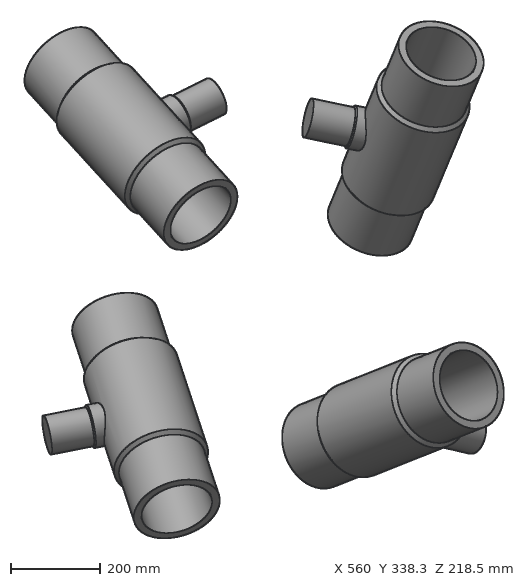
import cadquery as cq

pipe_length = 560.0
pipe_diameter = 200.0
bore_diameter = 163.5

sleeve_length = 291.0
sleeve_diameter = 218.5
bevel_length = 8.5

branch_reach = 229.0
spigot_diameter = 90.0
collar_reach = 131.5
collar_diameter = 99.0
collar_chamfer = 3.5


def cylinder_along_x(diameter, length):
    return cq.Workplane("YZ").circle(diameter / 2).extrude(length / 2, both=True)


def cylinder_along_y(diameter, reach):
    """Cylinder from the pipe axis out to the given Y."""
    return cq.Workplane("XZ").circle(diameter / 2).extrude(-reach)


def bevelled_sleeve():
    half_length = sleeve_length / 2
    pipe_radius = pipe_diameter / 2
    sleeve_radius = sleeve_diameter / 2
    return (
        cq.Workplane("XY")
        .moveTo(-half_length, 0)
        .lineTo(-half_length, pipe_radius)
        .lineTo(-half_length + bevel_length, sleeve_radius)
        .lineTo(half_length - bevel_length, sleeve_radius)
        .lineTo(half_length, pipe_radius)
        .lineTo(half_length, 0)
        .close()
        .revolve(360, (0, 0, 0), (1, 0, 0))
    )


def side_branch():
    collar = cylinder_along_y(collar_diameter, collar_reach).faces(">Y").chamfer(collar_chamfer)
    return collar.union(cylinder_along_y(spigot_diameter, branch_reach))


body = cylinder_along_x(pipe_diameter, pipe_length).union(bevelled_sleeve()).union(side_branch())

result = body.cut(cylinder_along_x(bore_diameter, pipe_length))